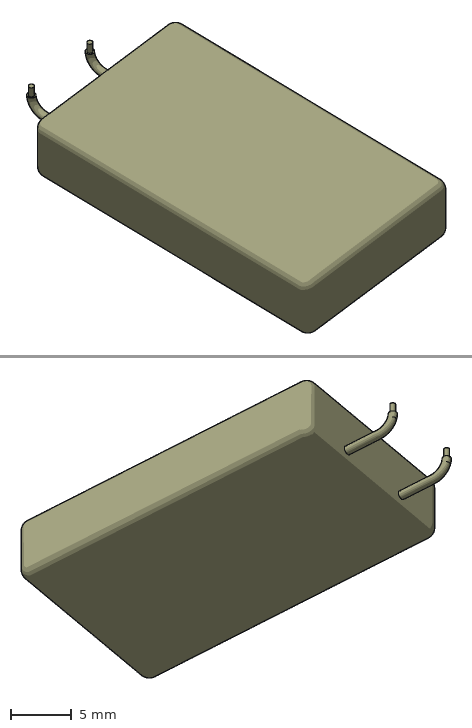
import cadquery as cq

overall_length = 35.65
cell_length = 30.5
cell_width = 17.5
cell_height = 6.13
cell_round = 1.0

wire_diameter = 0.8
wire_spacing = 7.2
wire_height = 1.15
bend_radius = 1.45

pin_diameter = 0.5
pin_stick_out = 1.0
pin_embedment = 0.55

wire_reach = overall_length - cell_length
pin_x = wire_diameter / 2 - wire_reach
bend_start_x = pin_x + bend_radius
wire_end_z = wire_height + bend_radius
pin_bottom_z = wire_end_z - pin_embedment
wire_positions = [-wire_spacing / 2, wire_spacing / 2]


def make_cell():
    """Block with every edge rounded."""
    block = cq.Workplane("XY").box(cell_length, cell_width, cell_height, centered=(False, True, False))
    return block.edges().fillet(cell_round)


def make_pin(y):
    """Upright round pin, partly sunk in the wire end."""
    return (
        cq.Workplane("XY", origin=(pin_x, y, pin_bottom_z))
        .circle(pin_diameter / 2)
        .extrude(pin_embedment + pin_stick_out)
    )


def make_wire(y):
    """Straight round wire with a quarter-circle bend, bored at its upper end for the pin."""
    straight = (
        cq.Workplane("YZ", origin=(bend_start_x, y, wire_height))
        .circle(wire_diameter / 2)
        .extrude(-bend_start_x)
    )
    bend = (
        cq.Workplane("XY", origin=(pin_x, y, wire_end_z))
        .circle(wire_diameter / 2)
        .revolve(90, (bend_radius, 0, 0), (bend_radius, -1, 0))
    )
    return straight.union(bend).cut(make_pin(y))


cell = make_cell()
wires = [make_wire(y) for y in wire_positions]
pins = [make_pin(y) for y in wire_positions]

result = cq.Compound.makeCompound(
    [
        cell.val(),
        *[wire.val() for wire in wires],
        *[pin.val() for pin in pins],
    ]
)